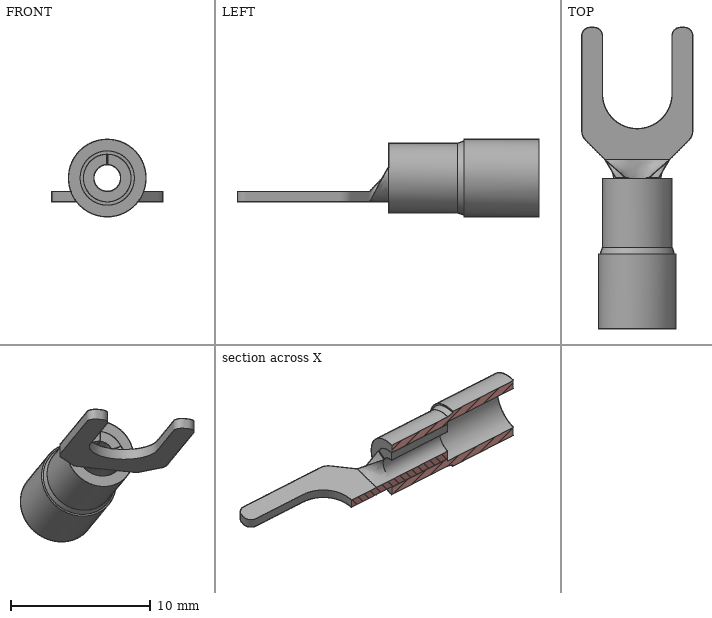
import cadquery as cq
import math


rear_radius = 2.8
front_radius = 2.52
shoulder_radius = 2.67
rear_length = 5.4
taper_end = 5.85
sleeve_length = 10.83
entry_radius = 1.95

barrel_radius = 1.71
sheet_thickness = 0.75
barrel_bore_radius = barrel_radius - sheet_thickness
barrel_start = taper_end
seam_width = 0.07
cradle_end = 10.9
rim_angle = 25

total_length = 21.7
fork_width = 8.0
slot_width = 5.0
slot_bottom = 14.4
neck_width = 4.69
neck_end = 12.2
tip_radius = 0.63
shoulder_fillet = 1.0
plate_bottom = -barrel_radius
plate_top = plate_bottom + sheet_thickness


def make_sleeve():
    """Stepped tube with a wide wire entry and a bore that fits the barrel."""
    return (
        cq.Workplane("XY")
        .moveTo(entry_radius, 0)
        .lineTo(rear_radius, 0)
        .lineTo(rear_radius, rear_length)
        .lineTo(shoulder_radius, rear_length)
        .lineTo(front_radius, taper_end)
        .lineTo(front_radius, sleeve_length)
        .lineTo(barrel_radius, sleeve_length)
        .lineTo(barrel_radius, barrel_start)
        .lineTo(entry_radius, barrel_start)
        .close()
        .revolve(360, (0, 0, 0), (0, 1, 0))
    )


def make_barrel():
    """Rolled tube with a narrow seam along its top."""
    length = sleeve_length - barrel_start
    tube = (
        cq.Workplane("XZ", origin=(0, barrel_start, 0))
        .circle(barrel_radius)
        .circle(barrel_bore_radius)
        .extrude(-length)
    )
    seam = cq.Workplane("XY").box(seam_width, length, barrel_radius, centered=(True, False, False))
    return tube.cut(seam.translate((0, barrel_start, 0)))


def cradle_edges(y):
    """Outer arc, right rim, inner arc and left rim of the opened barrel's C section at y."""
    angle = math.radians(rim_angle)

    def rim_point(radius, side):
        return cq.Vector(side * radius * math.cos(angle), y, radius * math.sin(angle))

    def lower_arc(radius):
        bottom = cq.Vector(0, y, -radius)
        return cq.Edge.makeThreePointArc(rim_point(radius, -1), bottom, rim_point(radius, 1))

    def rim(side):
        return cq.Edge.makeLine(rim_point(barrel_radius, side), rim_point(barrel_bore_radius, side))

    return [lower_arc(barrel_radius), rim(1), lower_arc(barrel_bore_radius), rim(-1)]


def plate_edges(y):
    """Bottom, right, top and left edges of the plate section at y, matching the cradle edges."""
    half_width = neck_width / 2
    bottom_left = cq.Vector(-half_width, y, plate_bottom)
    bottom_right = cq.Vector(half_width, y, plate_bottom)
    top_left = cq.Vector(-half_width, y, plate_top)
    top_right = cq.Vector(half_width, y, plate_top)
    return [
        cq.Edge.makeLine(bottom_left, bottom_right),
        cq.Edge.makeLine(bottom_right, top_right),
        cq.Edge.makeLine(top_left, top_right),
        cq.Edge.makeLine(bottom_left, top_left),
    ]


def face_from_edges(edges):
    """Flat face bounded by a closed ring of edges."""
    return cq.Face.makeFromWires(cq.Wire.assembleEdges(edges))


def make_neck():
    """Short cradle, then a ruled flare that flattens it into the fork plate."""
    cradle_face = face_from_edges(cradle_edges(sleeve_length))
    cradle_length = cq.Vector(0, cradle_end - sleeve_length, 0)
    cradle = cq.Workplane(cq.Solid.extrudeLinear(cradle_face, cradle_length))
    rear_edges = cradle_edges(cradle_end)
    front_edges = plate_edges(neck_end)
    faces = [cq.Face.makeRuledSurface(rear, front) for rear, front in zip(rear_edges, front_edges)]
    faces += [face_from_edges(rear_edges), face_from_edges(front_edges)]
    flare = cq.Solid.makeSolid(cq.Shell.makeShell(faces)).fix()
    return cradle.union(cq.Workplane(flare))


def make_fork():
    """Flat plate with 45 degree shoulders, two rounded prongs and a round-bottomed slot."""
    half_fork = fork_width / 2
    half_neck = neck_width / 2
    shoulder_y = neck_end + half_fork - half_neck
    slot_radius = slot_width / 2
    slot_center_y = slot_bottom + slot_radius
    plate = (
        cq.Workplane("XY", origin=(0, 0, plate_bottom))
        .moveTo(-half_neck, neck_end)
        .lineTo(half_neck, neck_end)
        .lineTo(half_fork, shoulder_y)
        .lineTo(half_fork, total_length)
        .lineTo(slot_radius, total_length)
        .lineTo(slot_radius, slot_center_y)
        .threePointArc((0, slot_bottom), (-slot_radius, slot_center_y))
        .lineTo(-slot_radius, total_length)
        .lineTo(-half_fork, total_length)
        .lineTo(-half_fork, shoulder_y)
        .close()
        .extrude(sheet_thickness)
    )
    tip_edges = cq.selectors.BoxSelector(
        (-fork_width, total_length - tip_radius, plate_bottom - 0.22),
        (fork_width, total_length + tip_radius, plate_top + 0.22),
    )
    shoulder_edges = cq.selectors.BoxSelector(
        (-fork_width, shoulder_y - 0.22, plate_bottom - 0.22),
        (fork_width, shoulder_y + 0.22, plate_top + 0.22),
    )
    plate = plate.edges("|Z").edges(tip_edges).fillet(tip_radius)
    return plate.edges("|Z").edges(shoulder_edges).fillet(shoulder_fillet)


def make_terminal():
    """Barrel, neck and fork formed from one sheet."""
    return make_barrel().union(make_neck()).union(make_fork())


sleeve = make_sleeve()
terminal = make_terminal()
result = cq.Compound.makeCompound([sleeve.val(), terminal.val()])